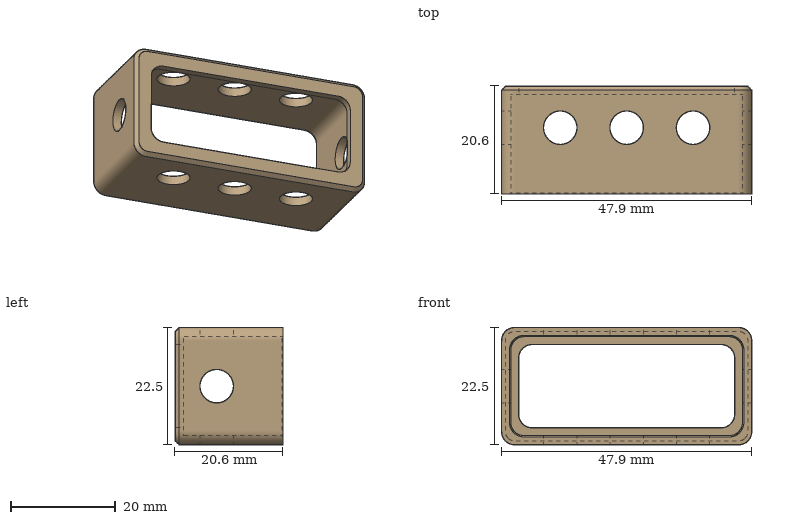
import cadquery as cq

INCH = 25.4
length = 1.885 * INCH
depth = 0.8125 * INCH
height = 0.885 * INCH
wall = 0.07 * INCH
back_wall = 0.0625 * INCH
ledge = 0.06 * INCH
corner_radius = 0.1 * INCH
mouth_chamfer = 0.01 * INCH
back_chamfer = 0.03 * INCH

hole_diameter = 0.25 * INCH
hole_pitch = 0.5 * INCH
hole_count = 3
hole_from_back = 0.3125 * INCH

front_y = -depth / 2
back_y = depth / 2
hole_y = back_y - hole_from_back


def rounded_bar(inset, end_y):
    """Bar from the front face to end_y, its rounded section inset from the outer envelope."""
    return (
        cq.Workplane("XY")
        .box(length - 2 * inset, end_y - front_y, height - 2 * inset)
        .edges("|Y")
        .fillet(corner_radius)
        .translate((0, (front_y + end_y) / 2, 0))
    )


def housing():
    """Open box with a bevelled back rim, a bevelled mouth and a back window."""
    body = rounded_bar(0, back_y).faces(">Y").chamfer(back_chamfer)
    body = body.cut(rounded_bar(wall, back_y - back_wall))
    mouth = body.faces("<Y").val().innerWires()[0]
    body = body.newObject(mouth.Edges()).chamfer(mouth_chamfer)
    return body.cut(rounded_bar(wall + ledge, back_y))


def vertical_holes():
    """Row of holes along X, each through the top and bottom walls."""
    row = cq.Workplane("XY").workplane(offset=-height / 2)
    first_x = -hole_pitch * (hole_count - 1) / 2
    centres = [(first_x + i * hole_pitch, hole_y) for i in range(hole_count)]
    return row.pushPoints(centres).circle(hole_diameter / 2).extrude(height)


def end_holes():
    """One hole along X through both end walls at mid height."""
    plane = cq.Workplane("YZ").workplane(offset=-length / 2)
    return plane.center(hole_y, 0).circle(hole_diameter / 2).extrude(length)


result = housing().cut(vertical_holes()).cut(end_holes())